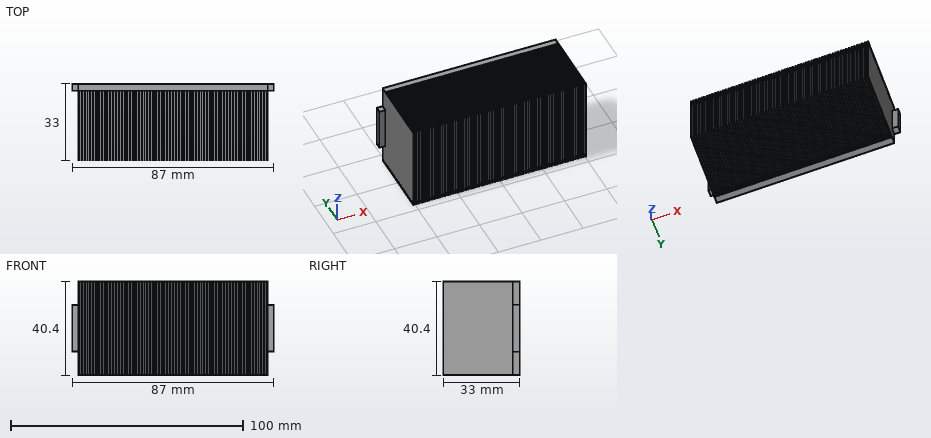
import cadquery as cq

overall_length = 87.0
overall_depth = 33.0
height = 40.4

base_thickness = 3.0
tab_length = 2.8
tab_height = height / 2
base_length = overall_length - 2 * tab_length

fin_count = 67
fin_thickness = 0.4
fin_pitch = (base_length - fin_thickness) / (fin_count - 1)

back_y = overall_depth / 2
base_front_y = back_y - base_thickness


def make_tab_bar():
    """Return a bar as thick as the base whose ends stick out as the two tabs."""
    bar = cq.Workplane("XY").box(overall_length, base_thickness, tab_height)
    return bar.translate((0, back_y - base_thickness / 2, 0))


def make_fin_gaps():
    """Return the slots between neighbouring fins, open to the front, top and bottom."""
    gap_width = fin_pitch - fin_thickness
    gap_depth = overall_depth - base_thickness
    first_gap_x = -(fin_count - 2) * fin_pitch / 2
    gap_y = base_front_y - gap_depth / 2
    centres = [(first_gap_x + i * fin_pitch, gap_y) for i in range(fin_count - 1)]
    gaps = cq.Workplane("XY").workplane(offset=-height / 2).pushPoints(centres)
    return gaps.rect(gap_width, gap_depth).extrude(height)


fin_block = cq.Workplane("XY").box(base_length, overall_depth, height)
finned_body = fin_block.cut(make_fin_gaps())

result = finned_body.union(make_tab_bar())